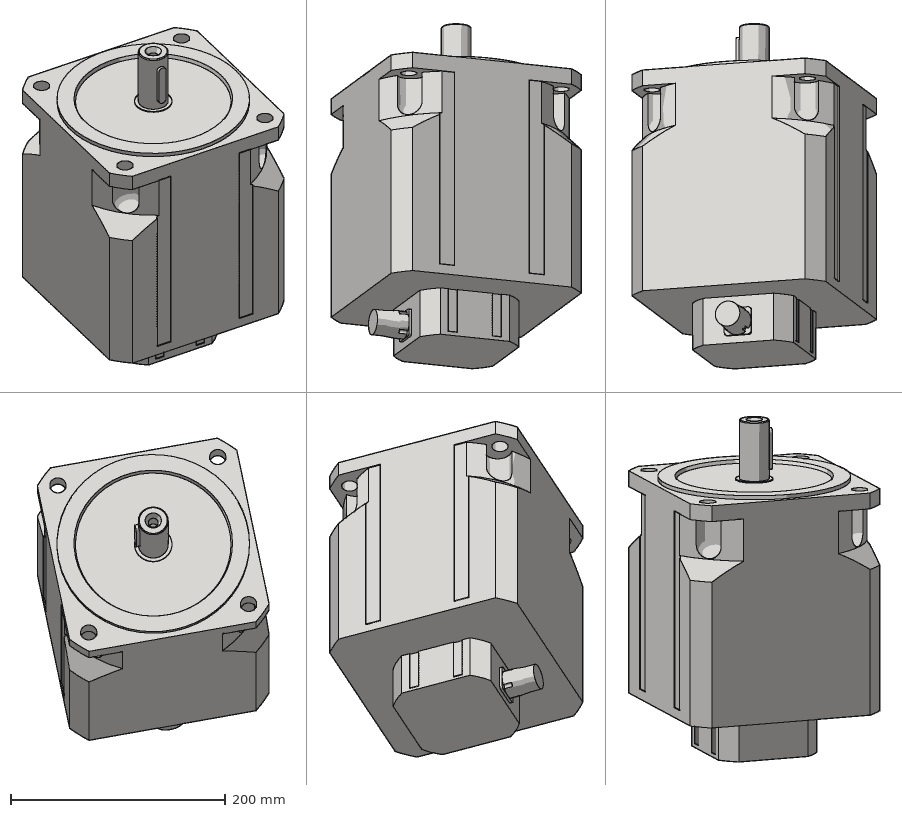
import cadquery as cq
import math

encoder_height = 45.0
motor_top = 257.5
pilot_height = 3.8
shaft_tip = 315.0
flange_thickness = 15.0
pilot_top = motor_top + pilot_height
flange_underside = motor_top - flange_thickness

motor_width = 190.0
motor_corner_diameter = 247.5
pocket_diameter = 212.3
pocket_height = 40.3
cutter_margin = 3.0
pocket_bottom = flange_underside - pocket_height

mounting_hole_diameter = 15.0
bolt_circle_diameter = 215.0
bolt_offset = bolt_circle_diameter / 2 / math.sqrt(2)
clearance_radius = 13.2
clearance_offset = 72.0

pilot_diameter = 180.0
dish_rim_diameter = 148.0
dish_floor_diameter = 145.2
dish_depth = 3.5
dish_floor = pilot_top - dish_depth

shaft_diameter = 28.0
shaft_chamfer = 1.0
shoulder_diameter = 35.0
shoulder_height = 1.0
centre_hole_diameter = 9.0
centre_hole_depth = 19.0
centre_countersink_diameter = 15.0
centre_countersink_angle = 60
drill_tip_half_angle = 59

key_width = 8.0
key_length = 40.0
key_height = 7.0
key_protrusion = 2.8
key_end_gap = 9.0
key_outer_x = shaft_diameter / 2 + key_protrusion
key_centre_z = shaft_tip - key_end_gap - key_length / 2

encoder_width = 99.0
encoder_corner_diameter = 120.5

groove_depth = 1.1
motor_groove_offset = 44.7
motor_groove_width = 14.8
motor_groove_bottom = encoder_height + 9.5
encoder_groove_offset = 22.0
encoder_groove_width = 8.8
encoder_groove_bottom = 3.8

connector_z = 20.2
connector_plate_size = 26.0
connector_plate_thickness = 2.5
connector_plate_corner = 2.8
connector_nut_diameter = 26.0
connector_nut_length = 8.2
connector_taper_length = 12.3
connector_plug_diameter = 24.0
connector_plug_length = 10.7
nut_notch_diameter = 4.0
nut_notch_count = 4
nut_notch_start_angle = 45


def turned_square(width, corner_diameter, bottom, height):
    """Square prism whose corners are turned round about the Z axis."""
    square = cq.Workplane("XY").workplane(offset=bottom).rect(width, width).extrude(height)
    cylinder = cq.Workplane("XY").workplane(offset=bottom).circle(corner_diameter / 2).extrude(height)
    return square.intersect(cylinder)


def side_grooves(width, offset, groove_width, bottom, top):
    """Cutters for two shallow upright grooves on each X side of a square prism."""
    return (
        cq.Workplane("XY")
        .workplane(offset=bottom)
        .rect(width, 2 * offset, forConstruction=True)
        .vertices()
        .rect(2 * groove_depth, groove_width)
        .extrude(top - bottom)
    )


def corner_pockets():
    """Ring cutter that hollows the corners below the flange, ending in a 45 degree slope."""
    inner = pocket_diameter / 2
    outer = motor_corner_diameter / 2
    outside = outer + cutter_margin
    slope = outside - inner
    return (
        cq.Workplane("XZ")
        .moveTo(inner, flange_underside)
        .lineTo(inner, pocket_bottom)
        .lineTo(outside, pocket_bottom - slope)
        .lineTo(outside, flange_underside)
        .close()
        .revolve(360, (0, 0, 0), (0, 1, 0))
    )


def screw_clearance(x, y):
    """Round-bottomed cutter that makes room for a screw head below the flange."""
    ball_centre = pocket_bottom + clearance_radius
    shank = (
        cq.Workplane("XY")
        .workplane(offset=ball_centre)
        .center(x, y)
        .circle(clearance_radius)
        .extrude(flange_underside - ball_centre)
    )
    ball = cq.Workplane("XY").sphere(clearance_radius).translate((x, y, ball_centre))
    return shank.union(ball)


def mounting_holes():
    """Cutters for the four holes through the flange."""
    return (
        cq.Workplane("XY")
        .workplane(offset=flange_underside)
        .rect(2 * bolt_offset, 2 * bolt_offset, forConstruction=True)
        .vertices()
        .circle(mounting_hole_diameter / 2)
        .extrude(flange_thickness)
    )


def dished_pilot():
    """Centring pilot with a shallow tapered dish in its front."""
    pilot = cq.Workplane("XY").workplane(offset=motor_top).circle(pilot_diameter / 2).extrude(pilot_height)
    dish = (
        cq.Workplane("XY")
        .workplane(offset=dish_floor)
        .circle(dish_floor_diameter / 2)
        .workplane(offset=dish_depth)
        .circle(dish_rim_diameter / 2)
        .loft()
    )
    return pilot.cut(dish)


def shaft():
    """Shaft end with its shoulder, tip chamfer and countersunk centre hole."""
    shoulder = (
        cq.Workplane("XY")
        .workplane(offset=dish_floor)
        .circle(shoulder_diameter / 2)
        .extrude(shoulder_height)
    )
    rod = (
        cq.Workplane("XY")
        .workplane(offset=dish_floor)
        .circle(shaft_diameter / 2)
        .extrude(shaft_tip - dish_floor)
        .faces(">Z")
        .chamfer(shaft_chamfer)
    )
    return shoulder.union(rod).cut(centre_hole())


def centre_hole():
    """Cutter for the drilled hole in the shaft tip."""
    hole_radius = centre_hole_diameter / 2
    sink_radius = centre_countersink_diameter / 2
    sink_depth = (sink_radius - hole_radius) / math.tan(math.radians(centre_countersink_angle / 2))
    hole_bottom = shaft_tip - centre_hole_depth
    drill_tip = hole_bottom - hole_radius / math.tan(math.radians(drill_tip_half_angle))
    return (
        cq.Workplane("XZ")
        .moveTo(0, shaft_tip)
        .lineTo(sink_radius, shaft_tip)
        .lineTo(hole_radius, shaft_tip - sink_depth)
        .lineTo(hole_radius, hole_bottom)
        .lineTo(0, drill_tip)
        .close()
        .revolve(360, (0, 0, 0), (0, 1, 0))
    )


def make_key():
    """Round-ended key set into the +X side of the shaft."""
    return (
        cq.Workplane("YZ")
        .workplane(offset=key_outer_x - key_height)
        .center(0, key_centre_z)
        .slot2D(key_length, key_width, 90)
        .extrude(key_height)
    )


def make_motor():
    """Motor housing with flange, shaft end and encoder housing."""
    body = turned_square(motor_width, motor_corner_diameter, encoder_height, motor_top - encoder_height)
    body_grooves = side_grooves(
        motor_width, motor_groove_offset, motor_groove_width, motor_groove_bottom, flange_underside
    )
    body = body.cut(corner_pockets()).cut(body_grooves)
    for x in (-clearance_offset, clearance_offset):
        for y in (-clearance_offset, clearance_offset):
            body = body.cut(screw_clearance(x, y))
    body = body.cut(mounting_holes()).union(dished_pilot())
    encoder = turned_square(encoder_width, encoder_corner_diameter, 0, encoder_height)
    encoder_grooves = side_grooves(
        encoder_width, encoder_groove_offset, encoder_groove_width, encoder_groove_bottom, encoder_height
    )
    return body.union(encoder.cut(encoder_grooves)).union(shaft()).cut(make_key())


def make_connector():
    """Round connector on a square plate, pointing along +Y from the encoder housing."""
    plate = (
        cq.Workplane("XY")
        .rect(connector_plate_size, connector_plate_size)
        .extrude(connector_plate_thickness)
        .edges("|Z")
        .fillet(connector_plate_corner)
    )
    nut_radius = connector_nut_diameter / 2
    plug_radius = connector_plug_diameter / 2
    nut_end = connector_plate_thickness + connector_nut_length
    taper_end = nut_end + connector_taper_length
    plug_end = taper_end + connector_plug_length
    barrel = (
        cq.Workplane("XZ")
        .lineTo(nut_radius, 0)
        .lineTo(nut_radius, nut_end)
        .lineTo(plug_radius, taper_end)
        .lineTo(plug_radius, plug_end)
        .lineTo(0, plug_end)
        .close()
        .revolve(360, (0, 0, 0), (0, 1, 0))
    )
    notches = (
        cq.Workplane("XY")
        .workplane(offset=connector_plate_thickness)
        .polarArray(nut_radius, nut_notch_start_angle, 360, nut_notch_count)
        .circle(nut_notch_diameter / 2)
        .extrude(connector_nut_length)
    )
    connector = barrel.cut(notches).union(plate)
    return connector.rotate((0, 0, 0), (1, 0, 0), -90).translate((0, encoder_width / 2, connector_z))


motor = make_motor()
key = make_key()
connector = make_connector()

result = cq.Compound.makeCompound([motor.val(), key.val(), connector.val()])